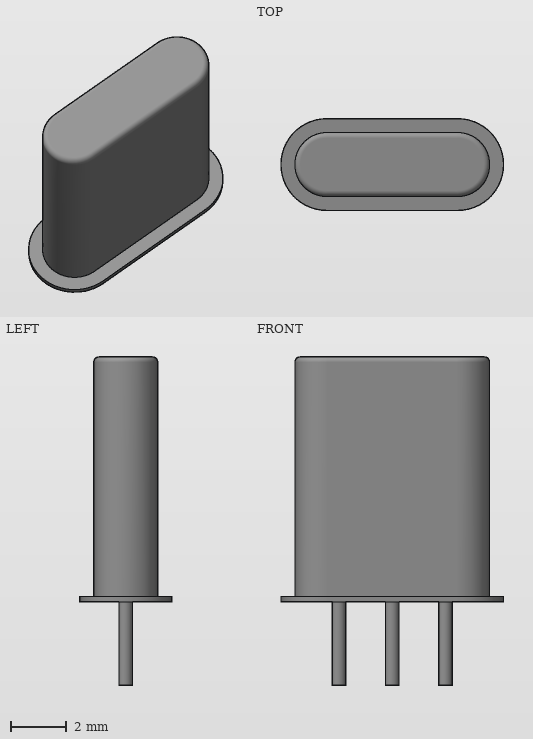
import cadquery as cq

total_height = 11.8
flange_length = 8.0
flange_width = 3.3
flange_thickness = 0.2

can_width = 2.3
can_length = flange_length - flange_width + can_width
can_edge_radius = 0.2

pin_diameter = 0.5
pin_length = 3.0
pin_pitch = 1.91

can_height = total_height - pin_length - flange_thickness


def make_flange():
    """Thin base plate with full-round ends, its underside at Z = 0."""
    return cq.Workplane("XY").slot2D(flange_length, flange_width).extrude(flange_thickness)


def make_can():
    """Tall body with full-round ends and a rounded top edge."""
    body = (
        cq.Workplane("XY")
        .workplane(offset=flange_thickness)
        .slot2D(can_length, can_width)
        .extrude(can_height)
    )
    return body.faces(">Z").edges().fillet(can_edge_radius)


def make_pins():
    """Round pins hanging down from the underside of the flange."""
    centres = [(-pin_pitch, 0), (0, 0), (pin_pitch, 0)]
    return cq.Workplane("XY").pushPoints(centres).circle(pin_diameter / 2).extrude(-pin_length)


result = make_flange().union(make_can()).union(make_pins())